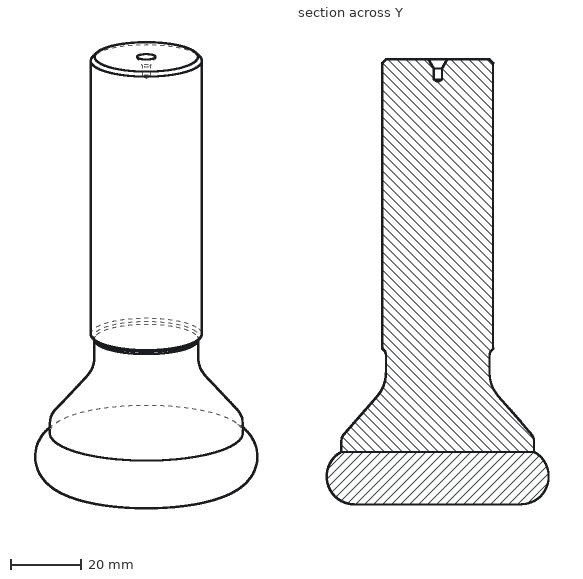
import cadquery as cq
import math

total_height = 127.0
outer_radius = 31.8

rim_radius = 8.0
rim_center_radius = outer_radius - rim_radius

foot_radius = 27.5
foot_edge_height = 18.0
foot_edge_round = 3.0
flare_angle = math.radians(40.0)
neck_radius = 14.9
neck_bottom = 37.5
neck_round = 10.0

shank_radius = 15.9
shank_bottom = 44.5
shank_end_drop = 0.8
shank_end_radius = shank_radius - shank_end_drop
neck_top = shank_bottom - 2 * shank_end_drop
top_chamfer = 1.1

center_mouth_radius = 2.7
center_drill_radius = 1.1
center_drill_depth = 5.7
countersink_half_angle = math.radians(30.0)
drill_point_half_angle = math.radians(60.0)

seat_height = rim_radius + math.sqrt(rim_radius**2 - (foot_radius - rim_center_radius) ** 2)


def revolve_about_z(profile):
    """Revolve a closed XZ profile a full turn about the Z axis."""
    return profile.close().revolve(360, (0, 0, 0), (0, 1, 0))


def arc_point(center, radius, angle):
    """Point on a circle, with the angle measured from the outward radial direction."""
    return (center[0] + radius * math.cos(angle), center[1] + radius * math.sin(angle))


def make_pad():
    profile = (
        cq.Workplane("XZ")
        .lineTo(rim_center_radius, 0)
        .threePointArc((outer_radius, rim_radius), (foot_radius, seat_height))
        .lineTo(0, seat_height)
    )
    return revolve_about_z(profile)


def make_stem_blank():
    edge_center = (foot_radius - foot_edge_round, foot_edge_height)
    edge_middle = arc_point(edge_center, foot_edge_round, flare_angle / 2)
    flare_bottom = arc_point(edge_center, foot_edge_round, flare_angle)

    neck_center = (neck_radius + neck_round, neck_bottom)
    neck_middle = arc_point(neck_center, neck_round, math.pi + flare_angle / 2)
    flare_top = arc_point(neck_center, neck_round, math.pi + flare_angle)

    profile = (
        cq.Workplane("XZ")
        .moveTo(0, seat_height)
        .lineTo(foot_radius, seat_height)
        .lineTo(foot_radius, foot_edge_height)
        .threePointArc(edge_middle, flare_bottom)
        .lineTo(*flare_top)
        .threePointArc(neck_middle, (neck_radius, neck_bottom))
        .lineTo(neck_radius, neck_top)
        .lineTo(shank_end_radius, shank_bottom - shank_end_drop)
        .lineTo(shank_radius, shank_bottom)
        .lineTo(shank_radius, total_height - top_chamfer)
        .lineTo(shank_radius - top_chamfer, total_height)
        .lineTo(0, total_height)
    )
    return revolve_about_z(profile)


def make_center_hole():
    countersink_depth = (center_mouth_radius - center_drill_radius) / math.tan(countersink_half_angle)
    drill_point_length = center_drill_radius / math.tan(drill_point_half_angle)
    drill_bottom = total_height - center_drill_depth
    profile = (
        cq.Workplane("XZ")
        .moveTo(0, total_height)
        .lineTo(center_mouth_radius, total_height)
        .lineTo(center_drill_radius, total_height - countersink_depth)
        .lineTo(center_drill_radius, drill_bottom)
        .lineTo(0, drill_bottom - drill_point_length)
    )
    return revolve_about_z(profile)


pad = make_pad()
stem = make_stem_blank().cut(make_center_hole())

result = cq.Compound.makeCompound([pad.val(), stem.val()])